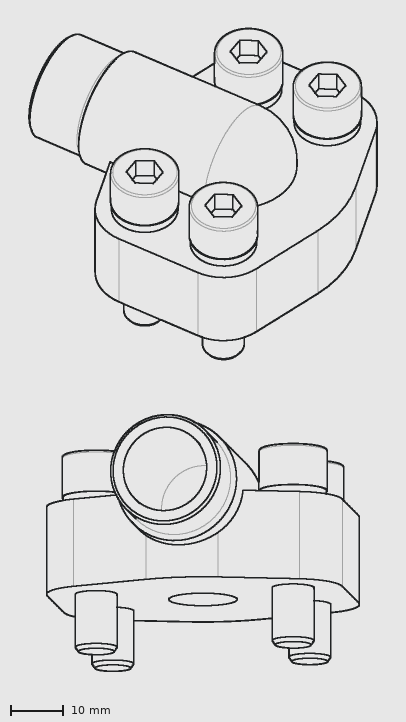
import cadquery as cq
import math

flange_length = 57.0
flange_height = 16.9
tip_radius = 23.5
screw_x = 8.75
screw_y = 19.05
corner_radius = flange_length / 2 - screw_y

pipe_dia = 23.3
pipe_axis_z = 17.9
pipe_start_x = -28.0
spigot_dia = 21.3
spigot_start_x = -40.0
spigot_chamfer = 0.6
neck_radius = (pipe_dia - spigot_dia) / 2

pipe_bore_dia = 16.1
flange_bore_dia = 13.0

shank_dia = 8.0
shank_length = 11.05
shank_chamfer_height = 0.8
shank_chamfer_width = 0.6
washer_dia = 12.7
washer_height = 1.9
head_dia = 13.0
head_height = 8.0
head_rounding = 0.4
hex_flats = 6.05
hex_depth = 4.0


def make_flange():
    """Plate bounded by arcs at tips and corners, joined by their common tangents."""
    screw_distance = math.hypot(screw_x, screw_y)
    screw_angle = math.atan2(screw_y, screw_x)
    normal_angle = screw_angle - math.acos((tip_radius - corner_radius) / screw_distance)
    normal_x = math.cos(normal_angle)
    normal_y = math.sin(normal_angle)
    tip_x = tip_radius * normal_x
    tip_y = tip_radius * normal_y
    corner_x = screw_x + corner_radius * normal_x
    corner_y = screw_y + corner_radius * normal_y
    half_length = flange_length / 2
    return (
        cq.Workplane("XY")
        .moveTo(tip_x, -tip_y)
        .threePointArc((tip_radius, 0), (tip_x, tip_y))
        .lineTo(corner_x, corner_y)
        .radiusArc((screw_x, half_length), -corner_radius)
        .lineTo(-screw_x, half_length)
        .radiusArc((-corner_x, corner_y), -corner_radius)
        .lineTo(-tip_x, tip_y)
        .threePointArc((-tip_radius, 0), (-tip_x, -tip_y))
        .lineTo(-corner_x, -corner_y)
        .radiusArc((-screw_x, -half_length), -corner_radius)
        .lineTo(screw_x, -half_length)
        .radiusArc((corner_x, -corner_y), -corner_radius)
        .close()
        .extrude(flange_height)
    )


def revolve_about_pipe_axis(profile):
    """Turn a profile, drawn as (distance along X, radius), about the pipe axis."""
    return profile.close().revolve(360, (0, 0, 0), (1, 0, 0)).translate((0, 0, pipe_axis_z))


def make_pipe():
    """Chamfered spigot, hollow-rounded step up to the pipe, and the ball end."""
    pipe_radius = pipe_dia / 2
    spigot_radius = spigot_dia / 2
    diagonal = math.sqrt(0.5)
    profile = (
        cq.Workplane("XZ")
        .moveTo(spigot_start_x, 0)
        .lineTo(spigot_start_x, spigot_radius - spigot_chamfer)
        .lineTo(spigot_start_x + spigot_chamfer, spigot_radius)
        .lineTo(pipe_start_x - neck_radius, spigot_radius)
        .radiusArc((pipe_start_x, pipe_radius), -neck_radius)
        .lineTo(0, pipe_radius)
        .threePointArc((pipe_radius * diagonal, pipe_radius * diagonal), (pipe_radius, 0))
    )
    return revolve_about_pipe_axis(profile)


def make_passage():
    """Round-ended bore along the pipe, turning down through the flange."""
    bore_radius = pipe_bore_dia / 2
    diagonal = math.sqrt(0.5)
    profile = (
        cq.Workplane("XZ")
        .moveTo(spigot_start_x, 0)
        .lineTo(spigot_start_x, bore_radius)
        .lineTo(0, bore_radius)
        .threePointArc((bore_radius * diagonal, bore_radius * diagonal), (bore_radius, 0))
    )
    flange_bore = cq.Workplane("XY").circle(flange_bore_dia / 2).extrude(pipe_axis_z)
    return revolve_about_pipe_axis(profile).union(flange_bore)


def make_screw():
    """Socket cap screw on its washer; the shank runs down through the flange."""
    shank_radius = shank_dia / 2
    washer_radius = washer_dia / 2
    head_radius = head_dia / 2
    head_bottom_z = flange_height + washer_height
    head_top_z = head_bottom_z + head_height
    body = (
        cq.Workplane("XZ")
        .moveTo(0, -shank_length)
        .lineTo(shank_radius - shank_chamfer_width, -shank_length)
        .lineTo(shank_radius, shank_chamfer_height - shank_length)
        .lineTo(shank_radius, flange_height)
        .lineTo(washer_radius, flange_height)
        .lineTo(washer_radius, head_bottom_z)
        .lineTo(head_radius, head_bottom_z)
        .lineTo(head_radius, head_top_z - head_rounding)
        .radiusArc((head_radius - head_rounding, head_top_z), -head_rounding)
        .lineTo(0, head_top_z)
        .close()
        .revolve(360, (0, 0, 0), (0, 1, 0))
    )
    socket = (
        cq.Workplane("XY", origin=(0, 0, head_top_z - hex_depth))
        .polygon(6, hex_flats, circumscribed=True)
        .extrude(hex_depth)
    )
    return body.cut(socket)


result = make_flange().union(make_pipe()).cut(make_passage())

screw = make_screw()
for x in (-screw_x, screw_x):
    for y in (-screw_y, screw_y):
        result = result.union(screw.translate((x, y, 0)))